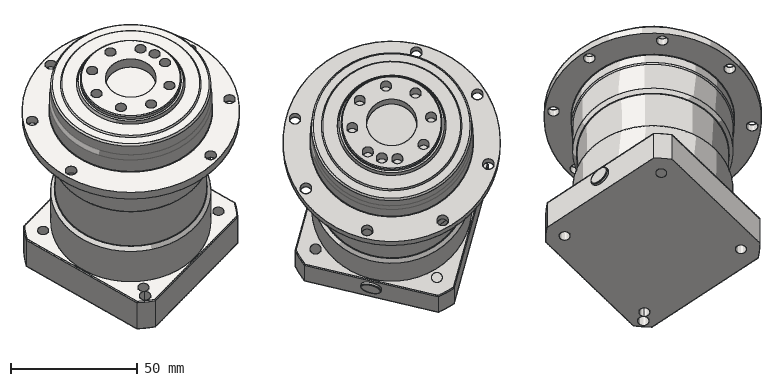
import cadquery as cq
import math

base_height = 16.3
rear_housing_top = 36.0
front_housing_bottom = 57.3
front_collar_bottom = 74.1
flange_bottom = 79.6
flange_top = 83.6
collar_taper_bottom = 90.7
collar_taper_top = 93.3
shoulder_height = 99.3
cover_height = 100.0
seal_height = 101.1
seal_seat_height = 98.1
overall_height = 103.0

tube_radius = 30.0
housing_radius = 31.7
collar_radius = 32.2
cover_radius = 27.8
cover_top_radius = 27.3
flange_diameter = 86.0
flange_radius = flange_diameter / 2
output_radius = 20.0
output_bore_radius = 10.0
seal_bore_radius = 21.5
seal_top_radius = 20.8

end_chamfer = 1.4
base_chamfer = 0.4
shoulder_chamfer = 0.7
flange_root_chamfer = 0.2
output_chamfer = 0.4
collar_chamfer = collar_radius - housing_radius

base_width = 65.0
base_corner_radius = 42.4
base_hole_radius = 2.2
base_hole_circle = 35.0

flange_hole_radius = 2.3
flange_hole_circle = 39.5
flange_hole_pitch = 45
base_clearance_angle = -45
output_hole_radius = 2.2
output_hole_circle = 15.8
output_hole_count = 8
output_hole_depth = 6.0
output_disc_thickness = 8.2
output_floor = overall_height - output_disc_thickness
output_bore_depth = 5.0
dowel_hole_angle = 90

corner_plug_angle = 135
side_cap_radius = 4.2
side_cap_thickness = 1.1
side_cap_height = 10.1
side_cap_chamfer = 0.3


def on_circle(radius, degrees):
    """Point at a given angle on a circle about the Z axis."""
    angle = math.radians(degrees)
    return (radius * math.cos(angle), radius * math.sin(angle))


def revolved(profile):
    """Solid of revolution about Z from (radius, height) points, swept from the -X side."""
    half_section = [(-radius, height) for radius, height in profile]
    return cq.Workplane("XZ").polyline(half_section).close().revolve(360, (0, 0, 0), (0, 1, 0))


def drill(body, points, radius, top, depth):
    """Cut vertical round holes downward from a given height."""
    holes = cq.Workplane("XY").workplane(offset=top).pushPoints(points).circle(radius).extrude(-depth)
    return body.cut(holes)


def make_rear_housing():
    """Square motor adapter with the round rear housing on top, and its corner holes."""
    base = cq.Workplane("XY").rect(base_width, base_width).extrude(base_height)
    corner_rounding = cq.Workplane("XY").circle(base_corner_radius).extrude(base_height)
    base = base.intersect(corner_rounding).faces(">Z").chamfer(base_chamfer)

    barrel = revolved([
        (0, 0),
        (housing_radius, 0),
        (housing_radius, rear_housing_top - end_chamfer),
        (housing_radius - end_chamfer, rear_housing_top),
        (0, rear_housing_top),
    ])

    corner_holes = [on_circle(base_hole_circle, 45 + 90 * i) for i in range(4)]
    housing = drill(base.union(barrel), corner_holes, base_hole_radius, base_height, base_height)
    clearance = [on_circle(flange_hole_circle, base_clearance_angle)]
    return drill(housing, clearance, flange_hole_radius, base_height, base_height)


def make_gear_tube():
    """Plain round tube section between the two housings."""
    return revolved([
        (0, rear_housing_top),
        (tube_radius, rear_housing_top),
        (tube_radius, front_housing_bottom),
        (0, front_housing_bottom),
    ])


def flange_hole_points():
    """Flange hole centres: every pitch angle except the one taken by the base clearance hole."""
    angles = range(0, 360, flange_hole_pitch)
    return [on_circle(flange_hole_circle, a) for a in angles if a != base_clearance_angle % 360]


def make_front_housing():
    """Round front housing with its mounting flange, bored for the seal and the output disc."""
    housing = revolved([
        (0, front_housing_bottom),
        (housing_radius - end_chamfer, front_housing_bottom),
        (housing_radius, front_housing_bottom + end_chamfer),
        (housing_radius, front_collar_bottom),
        (collar_radius, front_collar_bottom + collar_chamfer),
        (collar_radius, flange_bottom - flange_root_chamfer),
        (collar_radius + flange_root_chamfer, flange_bottom),
        (flange_radius, flange_bottom),
        (flange_radius, flange_top),
        (collar_radius + flange_root_chamfer, flange_top),
        (collar_radius, flange_top + flange_root_chamfer),
        (collar_radius, collar_taper_bottom),
        (housing_radius, collar_taper_top),
        (housing_radius, shoulder_height - shoulder_chamfer),
        (housing_radius - shoulder_chamfer, shoulder_height),
        (cover_radius, shoulder_height),
        (cover_top_radius, cover_height),
        (0, cover_height),
    ])
    housing = drill(housing, [(0, 0)], output_radius, cover_height, cover_height - output_floor)
    housing = drill(housing, [(0, 0)], seal_bore_radius, cover_height, cover_height - seal_seat_height)
    return drill(housing, flange_hole_points(), flange_hole_radius, flange_top, flange_top - flange_bottom)


def make_seal():
    """Tapered seal around the output disc, seated in the bore of the front housing."""
    return revolved([
        (output_radius, seal_seat_height),
        (seal_bore_radius, seal_seat_height),
        (seal_top_radius, seal_height),
        (output_radius, seal_height),
    ])


def make_output_disc():
    """Output disc with its centring bore, threaded-hole circle and one dowel hole."""
    disc = cq.Workplane("XY").workplane(offset=output_floor).circle(output_radius)
    disc = disc.extrude(overall_height - output_floor)
    disc = disc.faces(">Z").chamfer(output_chamfer)
    disc = drill(disc, [(0, 0)], output_bore_radius, overall_height, output_bore_depth)
    pitch = 360 / output_hole_count
    points = [on_circle(output_hole_circle, pitch * (i + 0.5)) for i in range(output_hole_count)]
    points.append(on_circle(output_hole_circle, dowel_hole_angle))
    return drill(disc, points, output_hole_radius, overall_height, output_hole_depth)


def make_corner_plug():
    """Plug that fills one corner hole of the adapter flush with its top face."""
    centre = on_circle(base_hole_circle, corner_plug_angle)
    return cq.Workplane("XY").center(*centre).circle(base_hole_radius).extrude(base_height)


def make_side_cap():
    """Round access cap on the +Y side of the adapter."""
    cap = cq.Workplane("XZ", origin=(0, base_width / 2, side_cap_height))
    return cap.circle(side_cap_radius).extrude(-side_cap_thickness).faces(">Y").chamfer(side_cap_chamfer)


rear_housing = make_rear_housing()
gear_tube = make_gear_tube()
front_housing = make_front_housing()
seal = make_seal()
output_disc = make_output_disc()
corner_plug = make_corner_plug()
side_cap = make_side_cap()

result = cq.Compound.makeCompound([
    rear_housing.val(),
    gear_tube.val(),
    front_housing.val(),
    seal.val(),
    output_disc.val(),
    corner_plug.val(),
    side_cap.val(),
])